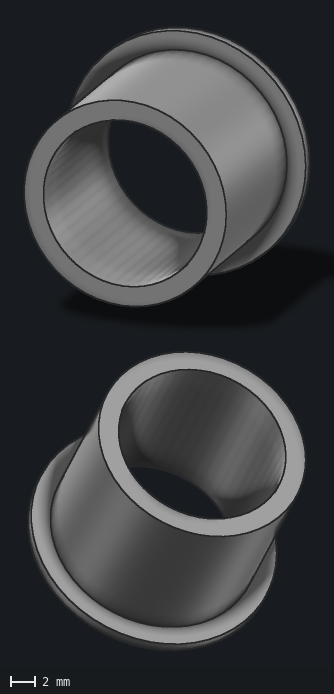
import cadquery as cq

flange_diameter = 21.0
flange_thickness = 1.0
sleeve_diameter = 17.72
bore_diameter = 14.3
total_length = 15.5


def cylinder_along_y(diameter, length):
    """Cylinder running from the flange's outer face (Y = 0) toward -Y."""
    return cq.Workplane("XZ").circle(diameter / 2).extrude(length)


flange = cylinder_along_y(flange_diameter, flange_thickness)
sleeve = cylinder_along_y(sleeve_diameter, total_length)
bore = cylinder_along_y(bore_diameter, total_length)

result = flange.union(sleeve).cut(bore)